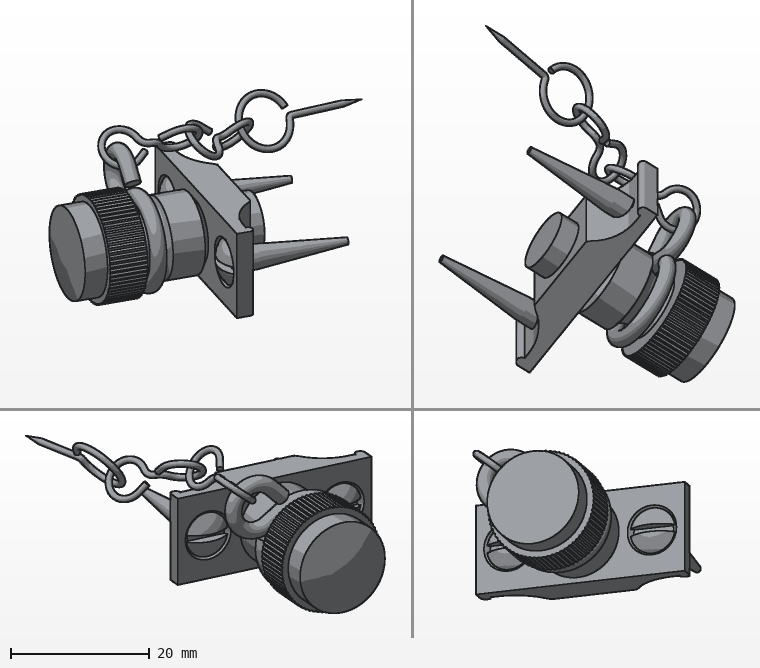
import cadquery as cq
import math


plate_length = 32.0
plate_height = 13.5
rim_thickness = 2.0
boss_thickness = 5.85
boss_half_width = 6.45
boss_bevel = 0.55
flank_radius = 7.75
lip_radius = 0.8

screw_spacing = 22.0
countersink_radius = 3.75
head_recess = 0.35
dome_height = 1.05
shank_radius = 1.9
shank_end = 4.8
tip_radius = 0.55
tip_end = 19.1
slot_width = 1.1
slot_floor = 0.7

boss_radius = 4.6
boss_end = 8.85
collar_back_radius = 4.85
collar_radius = 6.3
collar_back = -1.05
collar_front = -6.05
groove_radius = 4.15
neck_front_radius = 5.1
knurl_back = -10.7
knurl_front = -16.5
knurl_radius = 8.15
knurl_depth = 0.15
knurl_teeth = 72
cap_radius = 7.0
cap_front = -19.95
cone_tip = -20.95

hook_wire_radius = 1.2
ring_plane = -8.4
ring_radius = 6.5
ring_open_angle = 166.0
hook_radius = 3.6
hook_centre_x = -7.95
hook_centre_z = 6.85
hook_end_angle = 46.0
hook_tail = 2.75

wire_radius = 0.5
loop_radius = 3.0
loop_offset = 4.5
loop_open_angle = 50.0
loop_tail = 1.75
front_link_centre = cq.Vector(-10.7, -2.8, 9.85)
front_link_axis = cq.Vector(0, 1, 0)
front_link_normal = cq.Vector(0.63, 0, 0.78)
rear_link_centre = cq.Vector(-14.65, 9.3, 6.8)
rear_link_axis = cq.Vector(-9.6, 12.0, -4.9)
rear_link_normal = cq.Vector(-0.33, -0.59, -0.74)

eye_centre = cq.Vector(-18.85, 18.1, 6.0)
nail_tip = cq.Vector(-21.85, 34.35, 5.25)
eye_normal = cq.Vector(-0.77, -0.18, -0.58)
eye_radius = 4.15
eye_bend = 0.55
eye_open_angle = 19.0
nail_point_length = 3.25


def polar(radius, degrees):
    angle = math.radians(degrees)
    return radius * math.cos(angle), radius * math.sin(angle)


def turned(profile):
    """Revolve a closed (radius, Y) profile about the Y axis."""
    return profile.close().revolve(360, (0, 0, 0), (0, 1, 0))



def plate_half():
    """Right half of the plate: bevelled thick boss, hollow flank and rounded end lip."""
    end = plate_length / 2
    flank_x = boss_half_width + boss_bevel
    flank_y = boss_thickness - boss_bevel
    centre_y = rim_thickness + flank_radius
    sweep = math.degrees(math.acos((centre_y - flank_y) / flank_radius))
    centre_x = flank_x + flank_radius * math.sin(math.radians(sweep))
    mid_dx, mid_dy = polar(flank_radius, -90 - sweep / 2)
    outline = (
        cq.Workplane("XY")
        .lineTo(end, 0)
        .lineTo(end, rim_thickness)
        .threePointArc(
            (end - lip_radius, rim_thickness + lip_radius),
            (end - 2 * lip_radius, rim_thickness),
        )
        .lineTo(centre_x, rim_thickness)
        .threePointArc((centre_x + mid_dx, centre_y + mid_dy), (flank_x, flank_y))
        .lineTo(boss_half_width, boss_thickness)
        .lineTo(0, boss_thickness)
        .close()
    )
    return outline.extrude(plate_height / 2, both=True)


def make_plate():
    half = plate_half()
    plate = half.union(half.mirror("YZ"))
    knob_bore = cq.Workplane("XZ").circle(boss_radius).extrude(-boss_thickness)
    plate = plate.cut(knob_bore)
    seat = turned(
        cq.Workplane("XY")
        .lineTo(countersink_radius, 0)
        .lineTo(shank_radius, countersink_radius - shank_radius)
        .lineTo(shank_radius, boss_end)
        .lineTo(0, boss_end)
    )
    for side in (-1, 1):
        plate = plate.cut(seat.translate((side * screw_spacing / 2, 0, 0)))
    return plate



def make_screw(x):
    """Slotted, countersunk screw with a domed head and a long tapered shank."""
    rim_radius = countersink_radius - head_recess
    rise = head_recess + dome_height
    dome_radius = (rim_radius ** 2 + rise ** 2) / (2 * rise)
    half_angle = math.degrees(math.asin(rim_radius / dome_radius)) / 2
    dome_dx, dome_dy = polar(dome_radius, half_angle - 90)
    screw = turned(
        cq.Workplane("XY")
        .moveTo(0, -dome_height)
        .threePointArc((dome_dx, dome_radius - dome_height + dome_dy), (rim_radius, head_recess))
        .lineTo(shank_radius, countersink_radius - shank_radius)
        .lineTo(shank_radius, shank_end)
        .lineTo(tip_radius, tip_end)
        .lineTo(0, tip_end)
    )
    slot_depth = slot_floor + dome_height
    slot = cq.Workplane("XY").box(2 * countersink_radius, slot_depth, slot_width)
    slot = slot.translate((0, slot_floor - slot_depth / 2, 0))
    return screw.cut(slot).translate((x, 0, 0))



def make_knurl():
    """Ring of V-shaped teeth."""
    points = []
    for i in range(2 * knurl_teeth):
        radius = knurl_radius - knurl_depth * (i % 2)
        points.append(polar(radius, 180 * i / knurl_teeth))
    return (
        cq.Workplane("XZ", origin=(0, knurl_back, 0))
        .polyline(points)
        .close()
        .extrude(knurl_back - knurl_front)
    )


def make_knob():
    body = turned(
        cq.Workplane("XY")
        .moveTo(0, boss_end)
        .lineTo(boss_radius, boss_end)
        .lineTo(boss_radius, 0)
        .lineTo(collar_back_radius, 0)
        .lineTo(collar_radius, collar_back)
        .lineTo(collar_radius, collar_front)
        .threePointArc((groove_radius, ring_plane), (neck_front_radius, knurl_back))
        .lineTo(cap_radius, knurl_back)
        .lineTo(cap_radius, cap_front)
        .lineTo(0, cone_tip)
    )
    return body.union(make_knurl())



def swept_wire(edges, radius):
    """Round wire along a smooth chain of edges that is ordered from its start."""
    path = cq.Wire.assembleEdges(edges)
    start = cq.Plane(edges[0].startPoint(), normal=edges[0].tangentAt(0))
    return cq.Workplane(start).circle(radius).sweep(cq.Workplane(path))


def arc_edge(place, centre, radius, start, end):
    """Arc between two angles in a plane, where place(u, v) gives the point in space."""
    points = []
    for angle in (start, (start + end) / 2, end):
        du, dv = polar(radius, angle)
        points.append(place(centre[0] + du, centre[1] + dv))
    return cq.Edge.makeThreePointArc(*points)


def tail_edge(edge, length):
    """Straight tail that runs on from the end of an edge."""
    start = edge.endPoint()
    return cq.Edge.makeLine(start, start + edge.tangentAt(1) * length)


def make_hook():
    """Open ring round the groove that turns back into a smaller open hook."""

    def place(u, v):
        return cq.Vector(u, ring_plane, v)

    spacing = math.hypot(hook_centre_x, hook_centre_z)
    hook_direction = math.degrees(math.atan2(hook_centre_z, hook_centre_x))
    tangent_angle = hook_direction - math.degrees(math.acos((ring_radius + hook_radius) / spacing))
    hook_centre = (hook_centre_x, hook_centre_z)
    ring = arc_edge(place, (0, 0), ring_radius, ring_open_angle - 360, tangent_angle)
    hook = arc_edge(place, hook_centre, hook_radius, tangent_angle + 180, hook_end_angle)
    crossover = cq.Edge.makeLine(ring.endPoint(), hook.startPoint())
    return swept_wire([ring, crossover, hook, tail_edge(hook, hook_tail)], hook_wire_radius)


def loop_edges(place, offset, radius, bend, open_angle):
    """Bend off the neck, then an open loop centred on (offset, 0); ordered from the neck out."""
    neck_u = offset - math.sqrt(radius ** 2 + 2 * radius * bend)
    swing = math.degrees(math.asin(bend / (radius + bend)))
    return [
        arc_edge(place, (neck_u, bend), bend, -90, -swing),
        arc_edge(place, (offset, 0), radius, 180 - swing, open_angle - 180),
    ]


def aligned(shape, origin, axis, normal):
    """Move a shape so that its X axis follows axis and its Z axis is as near normal as can be."""
    side = normal.cross(axis)
    plane = cq.Plane(origin, xDir=axis, normal=axis.cross(side))
    return shape.val().moved(cq.Location(plane))


def place_flat(u, v):
    """Point of a loop that reaches toward -X in the XY plane."""
    return cq.Vector(-u, v, 0)


def place_upright(u, v):
    """Point of a loop that reaches toward +X in the XZ plane."""
    return cq.Vector(u, 0, -v)


def link_half(place):
    """One loop of a link, whose bend starts right at the middle of the link."""
    bend = (loop_offset ** 2 - loop_radius ** 2) / (2 * loop_radius)
    edges = loop_edges(place, loop_offset, loop_radius, bend, loop_open_angle)
    return edges + [tail_edge(edges[-1], loop_tail)]


def make_link(centre, axis, normal):
    """Figure-eight link whose two loops stand at right angles to each other."""
    back = swept_wire(link_half(place_flat), wire_radius)
    ahead = swept_wire(link_half(place_upright), wire_radius)
    return aligned(back.union(ahead), centre, axis, normal)


def make_eye_nail():
    """Straight pointed nail with an open eye at its blunt end."""
    axis = nail_tip - eye_centre
    shaft_end = axis.Length - nail_point_length
    eye = loop_edges(place_flat, 0, eye_radius, eye_bend, eye_open_angle)
    shaft = cq.Edge.makeLine(cq.Vector(shaft_end, 0, 0), eye[0].startPoint())
    point = cq.Solid.makeCone(
        wire_radius, 0, nail_point_length, pnt=cq.Vector(shaft_end, 0, 0), dir=cq.Vector(1, 0, 0)
    )
    nail = swept_wire([shaft] + eye, wire_radius).union(cq.Workplane(point))
    return aligned(nail, eye_centre, axis, eye_normal)


plate = make_plate()
screws = [make_screw(side * screw_spacing / 2) for side in (-1, 1)]
knob = make_knob()
hook = make_hook()
links = [
    make_link(front_link_centre, front_link_axis, front_link_normal),
    make_link(rear_link_centre, rear_link_axis, rear_link_normal),
]
eye_nail = make_eye_nail()

result = cq.Compound.makeCompound(
    [plate.val(), *[screw.val() for screw in screws], knob.val(), hook.val(), *links, eye_nail]
)